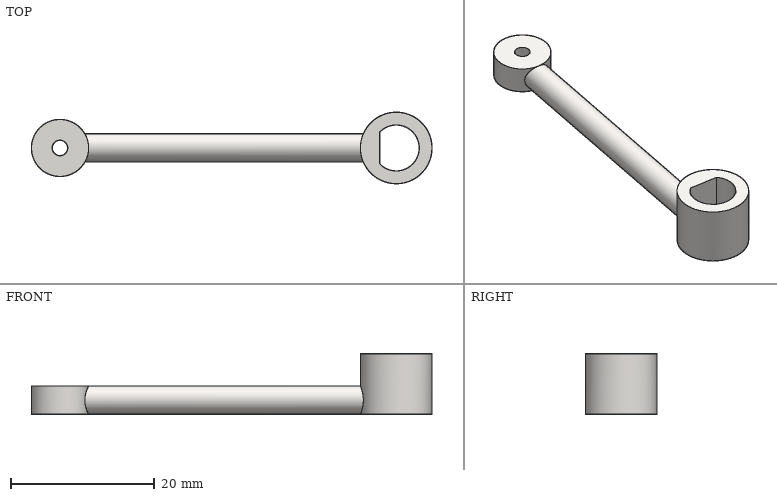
import cadquery as cq

overall_length = 56.0
pin_boss_diameter = 8.0
pin_hole_diameter = 2.1
shaft_hub_diameter = 10.0
shaft_hub_height = 8.5
rod_diameter = 4.0
bore_diameter = 6.4
bore_flat_offset = 2.3

pin_boss_height = rod_diameter
hub_x = overall_length - (pin_boss_diameter + shaft_hub_diameter) / 2


def cylinder(x, diameter, height):
    """Upright cylinder standing on the base plane, on the arm's centre line."""
    return cq.Workplane("XY").center(x, 0).circle(diameter / 2).extrude(height)


def d_bore():
    """Through bore of the hub, with a flat on the side facing the rod."""
    kept_width = bore_flat_offset + bore_diameter / 2
    flat_limit = (
        cq.Workplane("XY")
        .center(hub_x - bore_flat_offset + kept_width / 2, 0)
        .rect(kept_width, bore_diameter)
        .extrude(shaft_hub_height)
    )
    return cylinder(hub_x, bore_diameter, shaft_hub_height).intersect(flat_limit)


rod = (
    cq.Workplane("YZ")
    .center(0, rod_diameter / 2)
    .circle(rod_diameter / 2)
    .extrude(hub_x)
)

pin_boss = cylinder(0, pin_boss_diameter, pin_boss_height)
shaft_hub = cylinder(hub_x, shaft_hub_diameter, shaft_hub_height)
pin_hole = cylinder(0, pin_hole_diameter, pin_boss_height)
result = pin_boss.union(shaft_hub).union(rod).cut(pin_hole).cut(d_bore())